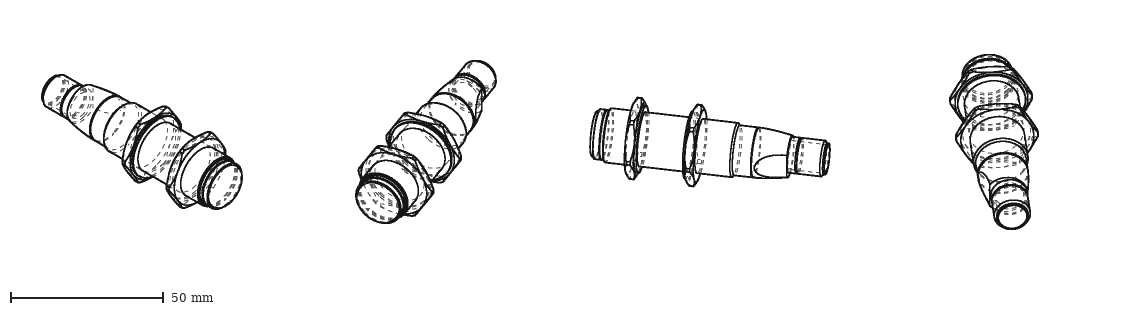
import cadquery as cq
import math

length = 77.5
neck_start = 12.2
neck_middle = 17.35
neck_bulge_at = 14.7
neck_end = 22.5
barrel_start = 29.8
barrel_end = 73.0
sleeve_end = 76.3
front_groove_at = 23.6
rear_groove_at = 74.15

barrel_radius = 9.0
sleeve_radius = 8.3
neck_start_radius = 7.0
neck_bulge_radius = 7.45
neck_middle_radius = 7.8
cap_radius = 7.7
cap_fillet = 0.8
barrel_front_chamfer = barrel_radius - sleeve_radius
barrel_rear_chamfer = 0.3
groove_width = 0.2
groove_depth = 0.2

flat_start_height = 5.35
flat_middle_height = 6.4

plug_offset_y = -0.9
plug_radius = 6.0
plug_tip_radius = 5.2
plug_tip_length = 0.55
plug_bore_radius = 4.7
plug_groove_at = 9.1
plug_groove_radius = 5.4

nut_across_flats = 24.0
nut_corner_radius = 13.5
nut_hex_thickness = 3.0
nut_collar_thickness = 0.7
nut_collar_radius = 11.15
nut_chamfer_angle = 30.0
front_nut_face = 42.15
rear_nut_face = 65.1


def revolve_about_x(profile):
    """Close a half profile and turn it fully about the X axis."""
    return profile.close().revolve(360, (0, 0, 0), (1, 0, 0))


def ring_groove(start_x):
    """Shallow ring to cut from the sleeve surface."""
    outer = cq.Workplane("YZ", origin=(start_x, 0, 0)).circle(sleeve_radius + groove_depth)
    return outer.circle(sleeve_radius - groove_depth).extrude(groove_width)


def make_barrel():
    """Neck, sleeve, barrel and end cap turned about the X axis."""
    rear_face_radius = barrel_radius - barrel_rear_chamfer
    profile = (
        cq.Workplane("XY")
        .moveTo(neck_start, 0)
        .lineTo(neck_start, neck_start_radius)
        .threePointArc((neck_bulge_at, neck_bulge_radius), (neck_middle, neck_middle_radius))
        .tangentArcPoint((neck_end, sleeve_radius), relative=False)
        .lineTo(barrel_start, sleeve_radius)
        .lineTo(barrel_start + barrel_front_chamfer, barrel_radius)
        .lineTo(barrel_end - barrel_rear_chamfer, barrel_radius)
        .lineTo(barrel_end, rear_face_radius)
        .lineTo(barrel_end, sleeve_radius)
        .lineTo(sleeve_end, sleeve_radius)
        .lineTo(sleeve_end, cap_radius)
        .lineTo(length - cap_fillet, cap_radius)
        .radiusArc((length, cap_radius - cap_fillet), cap_fillet)
        .lineTo(length, 0)
    )
    return revolve_about_x(profile)


def make_neck_flat():
    """Curved cutter that hollows the +Y side of the neck, straight along Z."""
    cutter_top = 2 * barrel_radius
    return (
        cq.Workplane("XY")
        .moveTo(neck_start, flat_start_height)
        .threePointArc((neck_middle, flat_middle_height), (neck_end, sleeve_radius))
        .lineTo(neck_end, cutter_top)
        .lineTo(neck_start, cutter_top)
        .close()
        .extrude(barrel_radius, both=True)
    )


def make_plug():
    """Hollow connector with a chamfered tip and a saw-tooth groove; the neck shoulder closes its bore."""
    tip_chamfer = plug_radius - plug_tip_radius
    saw_tooth = plug_radius - plug_groove_radius
    profile = (
        cq.Workplane("XY")
        .moveTo(0, plug_bore_radius)
        .lineTo(0, plug_tip_radius)
        .lineTo(plug_tip_length, plug_tip_radius)
        .lineTo(plug_tip_length + tip_chamfer, plug_radius)
        .lineTo(plug_groove_at, plug_radius)
        .lineTo(plug_groove_at, plug_groove_radius)
        .lineTo(plug_groove_at + saw_tooth, plug_radius)
        .lineTo(neck_start, plug_radius)
        .lineTo(neck_start, plug_bore_radius)
    )
    return revolve_about_x(profile).translate((0, plug_offset_y, 0))


def make_housing():
    body = make_barrel().cut(make_neck_flat())
    for groove_x in (front_groove_at, rear_groove_at):
        body = body.cut(ring_groove(groove_x - groove_width / 2))
    return body.union(make_plug())


def make_nut(face_x, direction):
    """Hex nut with its outer face at face_x; direction is +1 or -1, the way its collar points along X."""
    face_radius = nut_across_flats / 2
    chamfer = (nut_corner_radius - face_radius) * math.tan(math.radians(nut_chamfer_angle))
    corner_to_corner = nut_across_flats / math.cos(math.pi / 6)
    hexagon = cq.Workplane("YZ").polygon(6, corner_to_corner).extrude(nut_hex_thickness)
    turned_blank = revolve_about_x(
        cq.Workplane("XY")
        .lineTo(0, face_radius)
        .lineTo(chamfer, nut_corner_radius)
        .lineTo(nut_hex_thickness - chamfer, nut_corner_radius)
        .lineTo(nut_hex_thickness, face_radius)
        .lineTo(nut_hex_thickness, 0)
    )
    thickness = nut_hex_thickness + nut_collar_thickness
    collar = cq.Workplane("YZ").circle(nut_collar_radius).extrude(thickness)
    bore = cq.Workplane("YZ").circle(barrel_radius).extrude(thickness)
    nut = hexagon.intersect(turned_blank).union(collar).cut(bore)
    if direction < 0:
        nut = nut.mirror("YZ")
    return nut.translate((face_x, 0, 0))


housing = make_housing()

nuts = []
for face_x, direction in ((front_nut_face, 1), (rear_nut_face, -1)):
    nuts.append(make_nut(face_x, direction).val())

result = cq.Compound.makeCompound([housing.val(), *nuts])